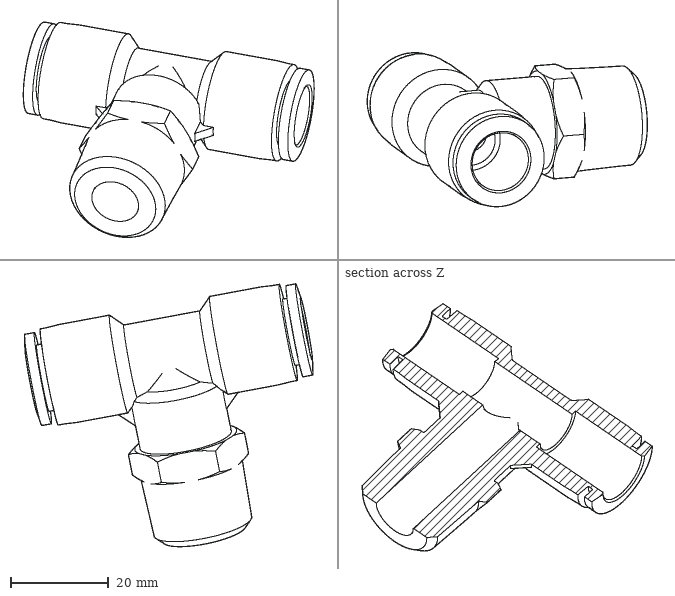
import cadquery as cq
import math


half_length = 28.65
neck_radius = 7.7
neck_half_length = 7.9
body_radius = 10.2
body_start = neck_half_length + body_radius - neck_radius
body_taper_start = 21.05
body_taper_end = 23.55
body_rim = 24.85
body_rim_radius = 10.0
body_end = 25.05
sleeve_radius = 6.95
collar_start = 26.2
collar_rim = 28.2
collar_radius = 9.5

bore_radius = 5.0
socket_radius = 6.1
socket_floor = 10.4
end_face_radius = 6.75
mouth_radius = 6.5
mouth_depth = 0.4

stem_radius = 9.5
stem_start = 7.35
branch_length = 38.45
hex_start = 18.3
hex_end = 24.4
hex_flats = 21.0
hex_corner_radius = hex_flats / math.sqrt(3)
hex_chamfer_radius = 10.6
hex_chamfer_length = (hex_corner_radius - hex_chamfer_radius) * math.tan(math.radians(30))
thread_end = 36.85
thread_slope = 1 / 32
tongue_end = 27.55
thread_start_radius = hex_flats / 2 + thread_slope * (tongue_end - hex_end)
thread_end_radius = thread_start_radius - thread_slope * (thread_end - hex_end)
tip_radius = 8.65

rib_thickness = 2.05
rib_reach = 22.7


def make_arm():
    """Outer shape of the +X half of the run."""
    profile = [
        (0, 0),
        (0, neck_radius),
        (neck_half_length, neck_radius),
        (body_start, body_radius),
        (body_taper_start, body_radius),
        (body_taper_end, body_rim_radius),
        (body_rim, body_rim_radius),
        (body_end, sleeve_radius),
        (collar_start, sleeve_radius),
        (collar_start, collar_radius),
        (collar_rim, collar_radius),
        (half_length, end_face_radius),
        (half_length, 0),
    ]
    return cq.Workplane("XY").polyline(profile).close().revolve(360, (0, 0), (1, 0))


def make_socket():
    """Tube socket of the +X arm, with the through bore and flared mouth."""
    profile = [
        (0, 0),
        (0, bore_radius),
        (socket_floor, bore_radius),
        (socket_floor, socket_radius),
        (half_length - mouth_depth, socket_radius),
        (half_length, mouth_radius),
        (half_length, 0),
    ]
    return cq.Workplane("XY").polyline(profile).close().revolve(360, (0, 0), (1, 0))


def revolve_about_branch(profile):
    """Revolve (radius, distance) points about the branch axis, distance along -Y."""
    points = [(radius, -distance) for radius, distance in profile]
    return cq.Workplane("XY").polyline(points).close().revolve(360, (0, 0), (0, 1))


def make_stem():
    return revolve_about_branch([
        (0, 0),
        (neck_radius, 0),
        (neck_radius, stem_start - (stem_radius - neck_radius)),
        (stem_radius, stem_start),
        (stem_radius, hex_start),
        (0, hex_start),
    ])


def make_hex_and_thread():
    """Chamfered hexagon and tapered thread; the hexagon's flats also trim the thread."""
    turned = revolve_about_branch([
        (0, hex_start),
        (hex_chamfer_radius, hex_start),
        (hex_corner_radius, hex_start + hex_chamfer_length),
        (hex_corner_radius, hex_end - hex_chamfer_length),
        (thread_start_radius, hex_end),
        (thread_end_radius, thread_end),
        (tip_radius, branch_length),
        (0, branch_length),
    ])
    prism = cq.Workplane("XZ").polygon(6, 2 * hex_corner_radius).extrude(branch_length)
    return turned.intersect(prism)


def make_ribs():
    """Triangular webs in both corners between run and branch."""
    outline = [(-rib_reach + neck_radius, -neck_radius), (0, -neck_radius),
               (rib_reach - neck_radius, -neck_radius), (0, -rib_reach)]
    return cq.Workplane("XY").polyline(outline).close().extrude(rib_thickness / 2, both=True)


arm = make_arm()
socket = make_socket()
branch_bore = cq.Workplane("XZ").circle(bore_radius).extrude(branch_length)

fitting = arm.union(arm.mirror("YZ")).union(make_stem())
fitting = fitting.union(make_hex_and_thread()).union(make_ribs())
result = fitting.cut(socket).cut(socket.mirror("YZ")).cut(branch_bore)